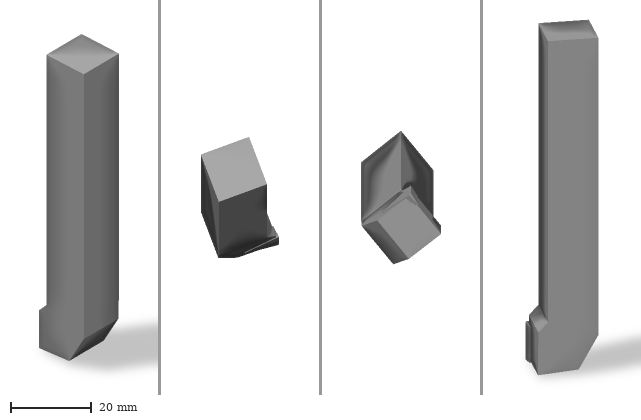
import cadquery as cq
import math

overall_width = 15.9
overall_length = 88.9
shank_size = 12.7
shank_left = overall_width - shank_size

crank_top_z = 14.6
crank_bottom_z = 12.0
head_left_top = 0.8
head_left_bottom = 0.7
head_bottom_z = 0.7
heel_x = 10.9
heel_bottom_z = 1.5
heel_top_z = 10.3

relief_depth = 0.3
relief_top_z = 15.65

insert_edge = 11.0
insert_thickness = 3.2
insert_clearance = 7.0
insert_nose_radius = 0.45


def make_insert():
    """Equilateral insert with an upright cutting edge and sides tapering inward toward -Y."""
    nose_setback = insert_nose_radius * (1 / math.tan(math.radians(30)) - 1)
    lower_corner_z = -nose_setback
    triangle = [
        (0, lower_corner_z),
        (0, lower_corner_z + insert_edge),
        (insert_edge * math.cos(math.radians(30)), lower_corner_z + insert_edge / 2),
    ]
    rounded_triangle = (
        cq.Sketch()
        .polygon([*triangle, triangle[0]])
        .vertices()
        .fillet(insert_nose_radius)
    )
    return (
        cq.Workplane("XZ", origin=(0, shank_size, 0))
        .placeSketch(rounded_triangle)
        .extrude(insert_thickness, taper=insert_clearance)
    )


def make_holder(insert):
    """Square shank with a cranked head, a lowered face and a pocket that fits the insert."""
    outline = [
        (shank_left, overall_length),
        (shank_left, crank_top_z),
        (head_left_top, crank_bottom_z),
        (head_left_bottom, head_bottom_z),
        (heel_x, heel_bottom_z),
        (overall_width, heel_top_z),
        (overall_width, overall_length),
    ]
    body = cq.Workplane("XZ").polyline(outline).close().extrude(-shank_size)
    relief = cq.Workplane("XY").box(overall_width, relief_depth, relief_top_z, centered=False)
    relief = relief.translate((0, shank_size - relief_depth, 0))
    return body.cut(relief).cut(insert)


insert = make_insert()
holder = make_holder(insert)

result = cq.Compound.makeCompound([*holder.solids().vals(), *insert.solids().vals()])